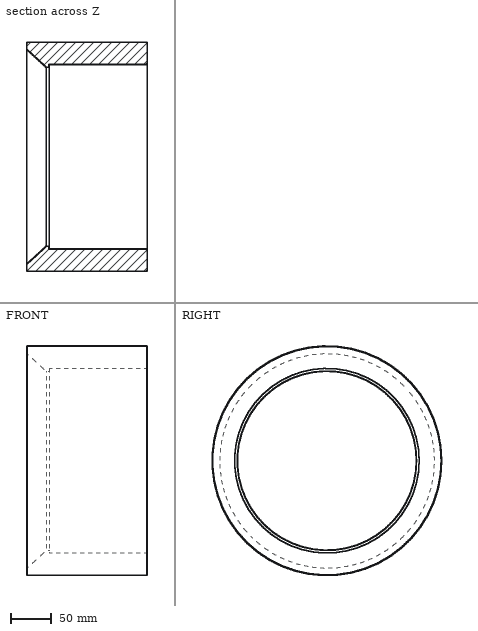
import cadquery as cq

length = 147.0
outer_diameter = 280.0
edge_chamfer = 0.7

mouth_diameter = 261.8
throat_diameter = 218.0
rear_bore_diameter = 225.0
taper_depth = 23.8
throat_length = 3.5

outer_radius = outer_diameter / 2
mouth_radius = mouth_diameter / 2
throat_radius = throat_diameter / 2
rear_bore_radius = rear_bore_diameter / 2

front_x = -length / 2
rear_x = length / 2
throat_start_x = front_x + taper_depth
throat_end_x = throat_start_x + throat_length
end_face_radius = outer_radius - edge_chamfer

section = (
    cq.Workplane("XY")
    .moveTo(front_x, mouth_radius)
    .lineTo(front_x, end_face_radius)
    .lineTo(front_x + edge_chamfer, outer_radius)
    .lineTo(rear_x - edge_chamfer, outer_radius)
    .lineTo(rear_x, end_face_radius)
    .lineTo(rear_x, rear_bore_radius)
    .lineTo(throat_end_x, rear_bore_radius)
    .lineTo(throat_end_x, throat_radius)
    .lineTo(throat_start_x, throat_radius)
    .close()
)

result = section.revolve(360, (0, 0, 0), (1, 0, 0))